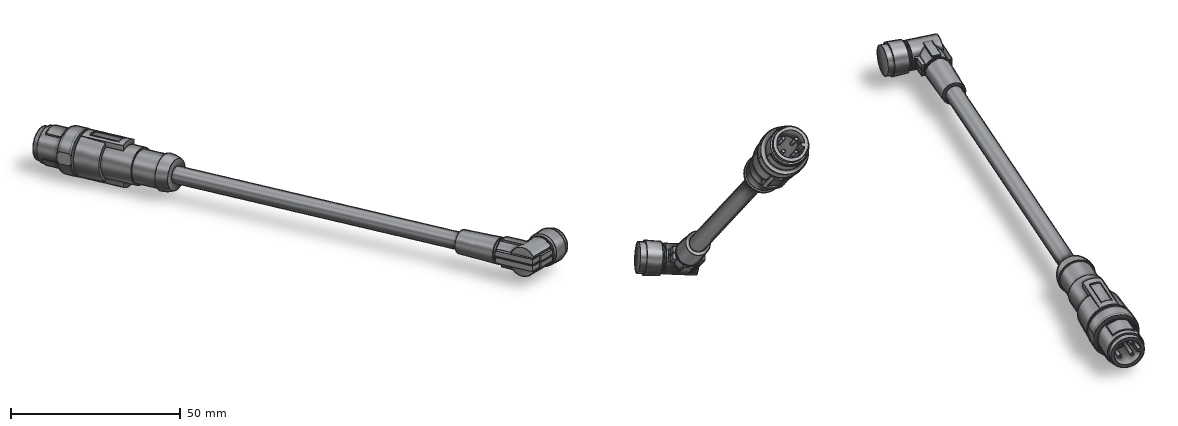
import cadquery as cq
import math

nose_radius = 5.3
nose_end = 1.8
thread_radius = 5.8
thread_end = 9.7
nut_radius = 7.4
nut_end = 14.5
nut_flat_width = 3.9
nut_flat_offset = math.sqrt(nut_radius**2 - (nut_flat_width / 2) ** 2)
nut_chamfer = 0.7
nut_chamfer_depth = 0.2
neck_radius = 4.2
grip_start = 15.5
grip_front_radius = 7.2
grip_rear_radius = 6.8
grip_end = 24.0
body_radius = thread_radius
body_end = 34.5
tail_radius = nose_radius
collar_start = 43.0
collar_radius = 5.8
collar_crown = 5.6
collar_end_radius = 5.0
collar_length = 3.9
collar_end = collar_start + collar_length

band_start = 3.3
band_end = 8.8
band_radius = 6.1
top_band_width = 7.0
lower_band_edge = -2.5

pad_end = 30.2
pad_width = 6.0
pad_height = nut_radius
pad_crown_radius = 6.3
recess_start = 17.7
recess_end = 27.9
recess_width = 3.3
recess_depth = 0.5

socket_radius = 4.2
socket_depth = 8.8
pin_offset = 2.0
pin_radius = 0.5
pin_recess = 1.4
key_width = 1.0
key_height = 1.0

cable_radius = 2.6
sleeve_start = 146.5
sleeve_end = 159.9
sleeve_small_radius = 3.7
sleeve_large_radius = 4.0
throat_radius = 3.7
elbow_start = 160.7
elbow_radius = 4.0

overall_length = 175.5
outlet_radius = 5.3
outlet_x = overall_length - outlet_radius
elbow_back = -4.0
stem_radius = 4.5
stem_flat_x = 174.0
stem_end = 5.8
outlet_neck_radius = 3.7
outlet_start = 6.5
outlet_base_radius = 5.1
outlet_chamfer = 0.5
outlet_step = 11.8
outlet_end = 13.7
outlet_rim_radius = 4.7

rib_height = 1.8
rib_gap = 0.4
rib_start = 161.3
outer_rib_back = -5.0
outer_rib_low_x = 174.5
outer_rib_step = -1.0
outer_rib_high_x = 175.0
outer_rib_top = 5.3
inner_rib_x = 165.1
inner_rib_y = 4.7

elbow_pad_end = 170.5
elbow_pad_width = 2.8
elbow_pad_height = 4.4


def cylinder_x(radius, start, end):
    """Solid cylinder on the X axis between two stations."""
    return cq.Workplane("YZ", origin=(start, 0, 0)).circle(radius).extrude(end - start)


def block(x_range, y_range, z_range):
    """Axis-aligned box given by its limits."""
    (x0, x1), (y0, y1), (z0, z1) = x_range, y_range, z_range
    return cq.Workplane("XY").box(x1 - x0, y1 - y0, z1 - z0, centered=False).translate((x0, y0, z0))


def across(width):
    """Limits of a width centred on the axis."""
    return (-width / 2, width / 2)


def make_plug_shell():
    """Turned outline of the straight plug, cable and sleeve."""
    front = [
        (0, 0),
        (0, nose_radius),
        (nose_end, nose_radius),
        (nose_end, thread_radius),
        (thread_end, thread_radius),
        (thread_end, nut_radius - nut_chamfer_depth),
        (thread_end + nut_chamfer, nut_radius),
        (nut_end - nut_chamfer, nut_radius),
        (nut_end, nut_radius - nut_chamfer_depth),
        (nut_end, neck_radius),
        (grip_start, neck_radius),
        (grip_start, grip_front_radius),
        (grip_end, grip_rear_radius),
        (grip_end, body_radius),
        (body_end, body_radius),
        (body_end, tail_radius),
        (collar_start, tail_radius),
        (collar_start, collar_radius),
    ]
    collar_middle = (collar_start + collar_length / 2, collar_crown)
    rear = [
        (collar_end, cable_radius),
        (sleeve_start, cable_radius),
        (sleeve_start, sleeve_small_radius),
        (sleeve_end, sleeve_large_radius),
        (sleeve_end, throat_radius),
        (elbow_start, throat_radius),
        (elbow_start, 0),
    ]
    profile = cq.Workplane("XY").polyline(front)
    profile = profile.threePointArc(collar_middle, (collar_end, collar_end_radius))
    for point in rear:
        profile = profile.lineTo(*point)
    return profile.close().revolve(360, (0, 0, 0), (1, 0, 0))


def make_nut_flats():
    """Slivers removed from the -Y and +Y sides of the coupling nut to leave flats."""
    nut_span = (thread_end, nut_end)
    outside = across(2 * nut_radius)
    slab = block(nut_span, outside, outside)
    return slab.cut(block(nut_span, across(2 * nut_flat_offset), outside))


def make_bands():
    """Raised arcs on the threaded barrel: a narrow one on top, a wide one below."""
    ring = cylinder_x(band_radius, band_start, band_end)
    span = (band_start, band_end)
    top = block(span, across(top_band_width), (0, band_radius))
    lower = block(span, across(2 * band_radius), (-band_radius, lower_band_edge))
    return ring.intersect(top.union(lower))


def make_grip_pads():
    """Pads on the top and bottom of the grip, crowned across their width."""
    span = (grip_start, pad_end)
    pads = block(span, across(pad_width), across(2 * (pad_height - pad_crown_radius)))
    for side in (1, -1):
        crown = cylinder_x(pad_crown_radius, grip_start, pad_end)
        crown = crown.translate((0, 0, side * (pad_height - pad_crown_radius)))
        pads = pads.union(crown.intersect(block(span, across(pad_width), across(2 * pad_height))))
    return pads


def make_pad_recesses():
    """Shallow flat-bottomed recesses in the two grip pads."""
    span = (recess_start, recess_end)
    floor = pad_height - recess_depth
    recesses = block(span, across(recess_width), across(2 * pad_height))
    return recesses.cut(block(span, across(recess_width), across(2 * floor)))


def make_socket():
    """Socket in the nose, less the polarising key on its -Y wall."""
    socket = cylinder_x(socket_radius, 0, socket_depth)
    key = block((0, socket_depth), (-socket_radius, key_height - socket_radius), across(key_width))
    return socket.cut(key)


def make_pins():
    """Four contact pins standing on the floor of the socket."""
    return (
        cq.Workplane("YZ", origin=(pin_recess, 0, 0))
        .rect(2 * pin_offset, 2 * pin_offset, forConstruction=True)
        .vertices()
        .circle(pin_radius)
        .extrude(socket_depth - pin_recess)
    )


def make_outlet():
    """Turned stem, flattened on its +X side, and the union nut on the +Y outlet."""
    outline = [
        (0, elbow_back),
        (stem_radius, elbow_back),
        (stem_radius, stem_end),
        (outlet_neck_radius, stem_end),
        (outlet_neck_radius, outlet_start),
        (outlet_base_radius - outlet_chamfer, outlet_start),
        (outlet_base_radius, outlet_start + outlet_chamfer),
        (outlet_radius, outlet_step),
        (outlet_rim_radius, outlet_step),
        (outlet_rim_radius, outlet_end),
        (0, outlet_end),
    ]
    outlet = cq.Workplane("XY").polyline(outline).close().revolve(360, (0, 0, 0), (0, 1, 0))
    outlet = outlet.translate((outlet_x, 0, 0))
    flat = block((stem_flat_x, outlet_x + stem_radius), (elbow_back, stem_end), across(2 * stem_radius))
    return outlet.cut(flat)


def make_elbow_ribs():
    """Paired ribs around the outer and inner sides of the bend."""
    outline = [
        (rib_start, outer_rib_back),
        (outer_rib_low_x, outer_rib_back),
        (outer_rib_low_x, outer_rib_step),
        (outer_rib_high_x, outer_rib_step),
        (outer_rib_high_x, outer_rib_top),
        (inner_rib_x, outer_rib_top),
        (inner_rib_x, inner_rib_y),
        (rib_start, inner_rib_y),
    ]
    rib = cq.Workplane("XY").polyline(outline).close().extrude(rib_height)
    upper = rib.translate((0, 0, rib_gap / 2))
    return upper.union(upper.mirror("XY"))


def make_elbow():
    """Housing that turns from the cable axis to the +Y outlet."""
    arm = cylinder_x(elbow_radius, elbow_start, outlet_x)
    pads = block((rib_start, elbow_pad_end), across(elbow_pad_width), across(2 * elbow_pad_height))
    return arm.union(make_outlet()).union(make_elbow_ribs()).union(pads)


plug = make_plug_shell().cut(make_nut_flats()).union(make_bands())
plug = plug.union(make_grip_pads()).cut(make_pad_recesses())
plug = plug.cut(make_socket()).union(make_pins())
result = plug.union(make_elbow())